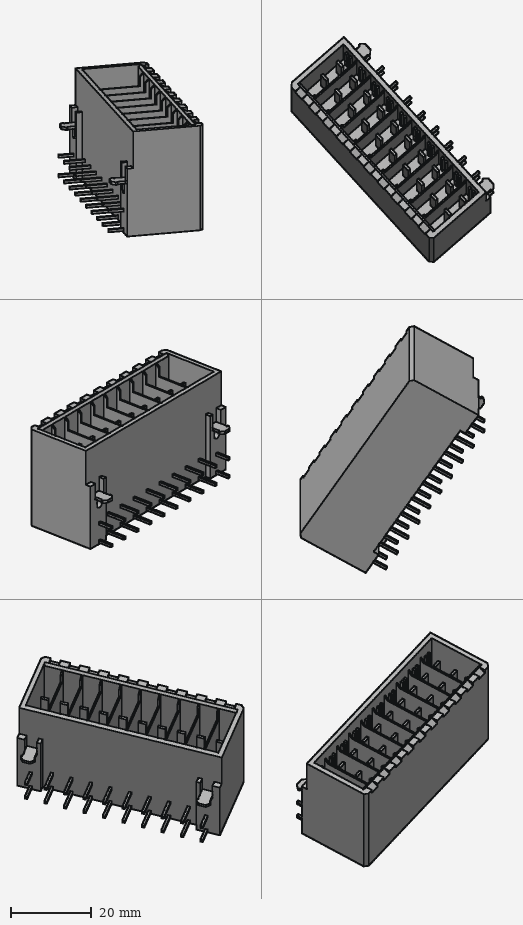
import cadquery as cq


length = 52.8
height = 27.2
body_depth = 18.15
total_depth = 23.5
wall = 1.3
rear_corner_chamfer = 0.85
cavity_depth = 16.9

positions = 10
pitch = 5.08
pin_side = 0.7
low_tail_z = 0.8

rear_rim = 1.75
rear_bevel = 0.65
notch_width = pitch / 2
notch_drop = 1.0

partition_thickness = 0.4
partition_bevel = 0.95
partition_drop = 4.05
partition_ramp = 1.05

blade_width = 1.95
blade_drop = 5.45
front_blade_y = 4.5
rib_side = 0.65
rib_offset = 0.65

foot_width = 6.1
foot_depth = 1.5
foot_height = 17.65
foot_outer_prong = 1.95
foot_inner_prong = 1.0
slot_width = 1.85
slot_bottom = 10.25
peg_bottom = 13.1
peg_thickness = 0.75
peg_width = 3.0
barb_width = 3.65
barb_start = 3.45
barb_full = 3.9
peg_reach = 4.8
peg_tip_width = 1.9

rear_y = body_depth
cavity_floor = height - cavity_depth
cavity_rear = rear_y - rear_rim - rear_bevel
tail_tip_y = body_depth - total_depth
pin_xs = [(i - (positions - 1) / 2) * pitch for i in range(positions)]
partition_xs = [x + pitch / 2 for x in pin_xs[:-1]]
overlap = 0.25


def block(x0, x1, y0, y1, z0, z1):
    """Box given by its limits along each axis."""
    return cq.Workplane("XY").box(x1 - x0, y1 - y0, z1 - z0, centered=False).translate((x0, y0, z0))


def centred_block(x, width, y0, y1, z0, z1):
    """Box of the given width, centred on x."""
    return block(x - width / 2, x + width / 2, y0, y1, z0, z1)


def side_profile(points, x, width):
    """Y-Z outline extruded along X, centred on x."""
    return cq.Workplane("YZ").polyline(points).close().extrude(width / 2, both=True).translate((x, 0, 0))


def gather(pieces):
    """One workplane holding the solids of several separate pieces."""
    return cq.Workplane("XY").newObject([piece.val() for piece in pieces])


def make_shroud():
    shroud = centred_block(0, length, 0, rear_y, 0, height)
    shroud = shroud.edges("|Z and >Y").chamfer(rear_corner_chamfer)
    cavity = [
        (wall, cavity_floor),
        (cavity_rear, cavity_floor),
        (cavity_rear, height - rear_bevel),
        (cavity_rear + rear_bevel, height),
        (wall, height),
    ]
    shroud = shroud.cut(side_profile(cavity, 0, length - 2 * wall))
    notch = [(rear_y - rear_rim, height), (rear_y, height), (rear_y, height - notch_drop)]
    return shroud.cut(gather([side_profile(notch, x, notch_width) for x in pin_xs]))


def make_partition(x):
    """Low wall with a bevelled shoulder at the rear and a short ramp at the front."""
    low_top = height - partition_drop
    shoulder_y = cavity_rear - partition_bevel
    outline = [
        (wall - overlap, cavity_floor - overlap),
        (cavity_rear + overlap, cavity_floor - overlap),
        (cavity_rear + overlap, height - rear_bevel),
        (cavity_rear, height - rear_bevel),
        (shoulder_y, height - rear_bevel - partition_bevel),
        (shoulder_y, low_top),
        (wall + partition_ramp, low_top),
        (wall, low_top + partition_ramp),
        (wall - overlap, low_top + partition_ramp),
    ]
    return side_profile(outline, x, partition_thickness)


def make_contacts(x):
    """A blade in the cavity and a solder tail for each of the two rows."""
    contacts = []
    half_side = pin_side / 2
    for row in range(2):
        blade_y = front_blade_y + row * pitch
        tail_z = low_tail_z + row * pitch
        contacts += [
            centred_block(
                x, blade_width, blade_y - half_side, blade_y + half_side,
                cavity_floor - overlap, height - blade_drop,
            ),
            centred_block(x, pin_side, tail_tip_y, overlap, tail_z - half_side, tail_z + half_side),
        ]
    return contacts


def make_ribs(x):
    """Pair of guide ribs on the cavity's front wall."""
    return [
        centred_block(
            x + side * rib_offset, rib_side, wall - overlap, wall + rib_side,
            cavity_floor - overlap, height - partition_drop,
        )
        for side in (-1, 1)
    ]


def make_left_foot():
    """Foot at the -X end with its slot and peg."""
    left = -length / 2
    peg_x = pin_xs[0]
    foot = block(left, left + foot_width, -foot_depth, overlap, 0, foot_height)
    gap_left = left + foot_outer_prong
    gap_right = left + foot_width - foot_inner_prong
    gap = block(gap_left, gap_right, -foot_depth, 0, peg_bottom, foot_height)
    round_z = slot_bottom + slot_width / 2
    slot = centred_block(peg_x, slot_width, -foot_depth, 0, round_z, peg_bottom)
    slot_end = cq.Workplane("XZ").center(peg_x, round_z).circle(slot_width / 2).extrude(foot_depth)
    foot = foot.cut(gap).cut(slot).cut(slot_end)

    half_outline = [
        (peg_width / 2, overlap),
        (peg_width / 2, -barb_start),
        (barb_width / 2, -barb_start),
        (barb_width / 2, -barb_full),
        (peg_tip_width / 2, -peg_reach),
    ]
    mirrored_half = [(-x, y) for x, y in reversed(half_outline)]
    peg = cq.Workplane("XY").polyline(half_outline + mirrored_half).close().extrude(peg_thickness)
    return foot.union(peg.translate((peg_x, 0, peg_bottom)))


left_foot = make_left_foot()
inserts = [make_partition(x) for x in partition_xs]
for pin_x in pin_xs:
    inserts += make_contacts(pin_x) + make_ribs(pin_x)

result = make_shroud().union(left_foot).union(left_foot.mirror("YZ")).union(gather(inserts))